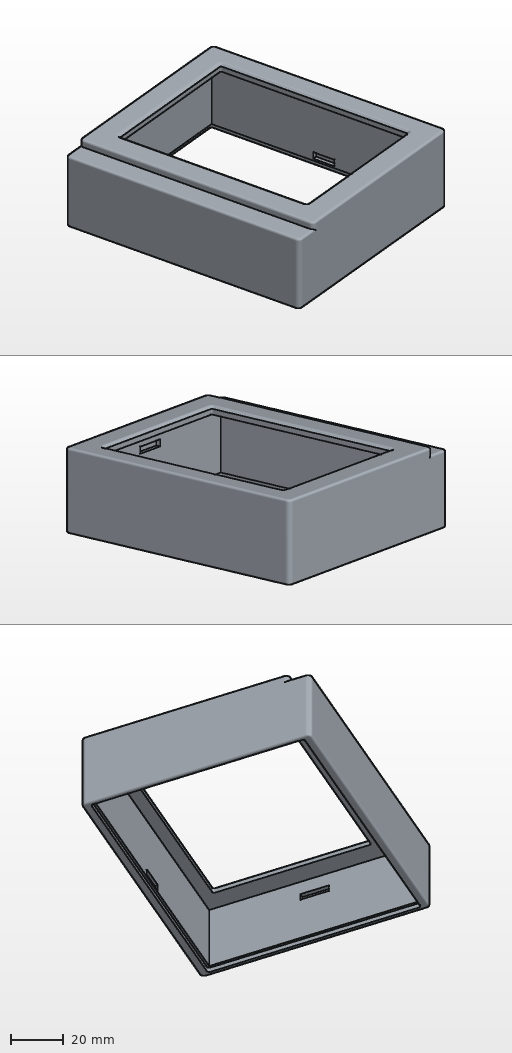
import cadquery as cq

length_x = 109.0
width_y = 96.0
height_z = 34.0
back_y = width_y / 2
front_y = -width_y / 2

ledge_width = 9.0
ledge_drop = 3.0
riser_y = front_y + ledge_width
ledge_z = height_z - ledge_drop

corner_radius = 2.0
edge_radius = 1.0

window_x = 87.2
window_y = 66.0
window_center_y = 5.1
window_corner_radius = 0.5
window_chamfer = 1.1
window_edge_radius = 1.0

side_wall = 2.8
end_wall = 4.5
roof = 3.4
inner_x = length_x - 2 * side_wall
inner_y = width_y - 2 * end_wall
inner_back = inner_y / 2

rebate_depth = 1.0
rebate_height = 2.2
rebate_corner_radius = 1.0

notch_depth = 1.9
notch_height = 2.8
notch_offset = 0.5
back_notch_length = 9.8
back_notch_z = 3.0
side_notch_length = 12.0
side_notch_z = 21.6


def block(size_x, y_min, y_max, z_min, z_max):
    """Box centred on X between the given Y and Z limits."""
    box = cq.Workplane("XY").box(size_x, y_max - y_min, z_max - z_min, centered=(True, False, False))
    return box.translate((0, y_min, z_min))


def rounded_block(y_min, z_top):
    """Full-length block reaching the back face, with all outer edges rounded."""
    body = block(length_x, y_min, back_y, 0, z_top)
    body = body.edges("|Z").fillet(corner_radius)
    return body.faces("<Z or >Z").edges().fillet(edge_radius)


def outer_body():
    """Low block over the whole footprint joined to the high block behind the ledge."""
    return rounded_block(front_y, ledge_z).union(rounded_block(riser_y, height_z))


def window_rim(body, rim_x, rim_y):
    """Edges in the top face that bound a window opening of the given size."""
    margin = edge_radius
    half_x = rim_x / 2 + margin
    half_y = rim_y / 2 + margin
    around_rim = cq.selectors.BoxSelector(
        (-half_x, window_center_y - half_y, height_z - margin / 2),
        (half_x, window_center_y + half_y, height_z + margin / 2),
    )
    return body.edges(around_rim)


def cut_window(body):
    """Cut the window through the body and shape its upper rim."""
    y_min = window_center_y - window_y / 2
    opening = block(window_x, y_min, y_min + window_y, 0, height_z)
    body = body.cut(opening.edges("|Z").fillet(window_corner_radius))
    body = window_rim(body, window_x, window_y).chamfer(window_chamfer)
    rim_x = window_x + 2 * window_chamfer
    rim_y = window_y + 2 * window_chamfer
    return window_rim(body, rim_x, rim_y).fillet(window_edge_radius)


def hollow():
    """Inner space that steps down under the ledge, so the roof keeps its thickness."""
    low = block(inner_x, -inner_back, inner_back, 0, ledge_z - roof)
    high = block(inner_x, riser_y + roof, inner_back, 0, height_z - roof)
    return low.union(high)


def rebate():
    """Slightly wider recess with rounded corners at the open bottom."""
    reach_y = inner_back + rebate_depth
    recess = block(inner_x + 2 * rebate_depth, -reach_y, reach_y, 0, rebate_height)
    return recess.edges("|Z").fillet(rebate_corner_radius)


def back_notch():
    """Pocket low in the back wall."""
    z_top = back_notch_z + notch_height
    notch = block(back_notch_length, inner_back, inner_back + notch_depth, back_notch_z, z_top)
    return notch.translate((notch_offset, 0, 0))


def side_notch():
    """Pocket high in the +X wall."""
    half_length = side_notch_length / 2
    z_top = side_notch_z + notch_height
    notch = block(notch_depth, -half_length, half_length, side_notch_z, z_top)
    return notch.translate(((inner_x + notch_depth) / 2, -notch_offset, 0))


result = cut_window(outer_body())
for cutter in (hollow(), rebate(), back_notch(), side_notch()):
    result = result.cut(cutter)